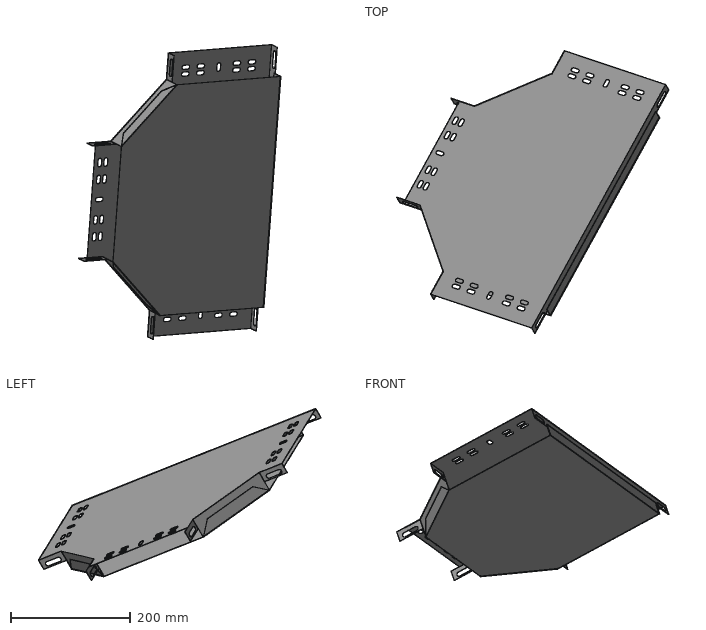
import cadquery as cq

sheet = 0.7
run_half_length = 246.5
run_width = 201.5
tab_length = 46.0
branch_half_width = 100.5
branch_end = 347.3
branch_plate_end = 330.5
corner_y = run_half_length - tab_length
corner_x = branch_end - tab_length

wall_depth = 35.5
tab_depth = 19.0
flap_height = 22.5

slot_length = 14.5
slot_width = 7.0
slot_offsets = [-64.5, -35.0, 35.0, 64.5]
slot_rows = [27.5, 39.5]
middle_slot_setback = 31.7
tab_slot_length = 30.5
tab_slot_width = 8.0
tab_slot_depth = 12.5

tilt_x = -21.7
tilt_y = -27.2
tilt_z = -18.5


def run_corner(side):
    """Plan point where the run's front meets the slanted wall on one side of the branch."""
    return (-run_width, side * corner_y)


def branch_corner(side):
    """Plan point where the branch meets the slanted wall on the same side."""
    return (-corner_x, side * branch_half_width)


def span(start, end):
    """Vector in plan from start to end."""
    return cq.Vector(end[0] - start[0], end[1] - start[1], 0)


def upright(start, end, outline, inward):
    """Vertical sheet on the line from start to end.

    The outline is (distance along the line, height) and the sheet is one thickness
    thick, laid on the inner or outer side of the line.
    """
    along = span(start, end)
    normal = along.cross(cq.Vector(0, 0, 1))
    middle_of_tee = cq.Vector(-run_width / 2, 0, 0)
    points_inward = normal.dot(middle_of_tee - cq.Vector(*start, 0)) > 0
    plane = cq.Plane(origin=(*start, 0), xDir=along, normal=normal)
    thickness = sheet if points_inward == inward else -sheet
    return cq.Workplane(plane).polyline(outline).close().extrude(thickness)


def wall(start, end, depth):
    """Side wall of the tray, hanging from the plate."""
    length = span(start, end).Length
    return upright(start, end, [(0, 0), (length, 0), (length, -depth), (0, -depth)], True)


def flap(start, end, mitre):
    """Edge flap of the cover, standing outside a tray wall, its top cut back at both ends by the mitre."""
    length = span(start, end).Length
    bottom = -wall_depth - sheet
    top = bottom + flap_height
    outline = [(0, bottom), (length, bottom), (length - mitre, top), (mitre, top)]
    return upright(start, end, outline, False)


def slot_cut(x, y, angle):
    """Cutter for a slot through the tray plate."""
    return (
        cq.Workplane("XY", origin=(x, y, -2 * sheet))
        .slot2D(slot_length, slot_width, angle)
        .extrude(3 * sheet)
    )


def tab_slot_cut(x, y, plane):
    """Cutter for the long slot through a tab that lies in the given plane."""
    return (
        cq.Workplane(plane, origin=(x, y, -tab_slot_depth))
        .slot2D(tab_slot_length, tab_slot_width)
        .extrude(2 * sheet, both=True)
    )


def make_tray():
    """Slotted plate with its walls and tabs folded down."""
    outline = [
        (0, run_half_length),
        (-run_width, run_half_length),
        run_corner(1),
        branch_corner(1),
        (-branch_plate_end, branch_half_width),
    ]
    outline += [(x, -y) for x, y in reversed(outline)]
    tray = cq.Workplane("XY").polyline(outline).close().extrude(-sheet)

    tray = tray.union(wall((0, -corner_y), (0, corner_y), wall_depth))
    tray = tray.union(wall((0, -run_half_length), (0, run_half_length), tab_depth))

    for side in (1, -1):
        run_tip = (-run_width, side * run_half_length)
        branch_tip = (-branch_end, side * branch_half_width)
        tray = tray.union(wall(run_corner(side), branch_corner(side), wall_depth))
        tray = tray.union(wall(run_corner(side), run_tip, tab_depth))
        tray = tray.union(wall(branch_corner(side), branch_tip, tab_depth))

    for offset in slot_offsets:
        for row in slot_rows:
            for side in (1, -1):
                y = side * (run_half_length - row)
                tray = tray.cut(slot_cut(offset - run_width / 2, y, 0))
            tray = tray.cut(slot_cut(row - branch_end, offset, 90))
    for side in (1, -1):
        y = side * (run_half_length - middle_slot_setback)
        tray = tray.cut(slot_cut(-run_width / 2, y, 90))
    tray = tray.cut(slot_cut(middle_slot_setback - branch_end, 0, 0))

    for side in (1, -1):
        run_tab_y = side * (run_half_length - tab_length / 2)
        for x in (0, -run_width):
            tray = tray.cut(tab_slot_cut(x, run_tab_y, "YZ"))
        branch_tab_x = tab_length / 2 - branch_end
        tray = tray.cut(tab_slot_cut(branch_tab_x, side * branch_half_width, "XZ"))
    return tray


def make_cover():
    """Plate that closes the tray from below, its flaps folded up outside the walls."""
    outline = [(0, corner_y), run_corner(1), branch_corner(1)]
    outline += [(x, -y) for x, y in reversed(outline)]
    cover = (
        cq.Workplane("XY", origin=(0, 0, -wall_depth))
        .polyline(outline)
        .close()
        .extrude(-sheet)
    )
    cover = cover.union(flap((0, -corner_y), (0, corner_y), 0))
    for side in (1, -1):
        cover = cover.union(flap(run_corner(side), branch_corner(side), flap_height))
    return cover


def tilted(body):
    """Turn a level body into the tee's tilted position."""
    origin = (0, 0, 0)
    return (
        body.rotate(origin, (1, 0, 0), tilt_x)
        .rotate(origin, (0, 1, 0), tilt_y)
        .rotate(origin, (0, 0, 1), tilt_z)
    )


tray = tilted(make_tray())
cover = tilted(make_cover())
result = cq.Compound.makeCompound([tray.solids().val(), cover.solids().val()])